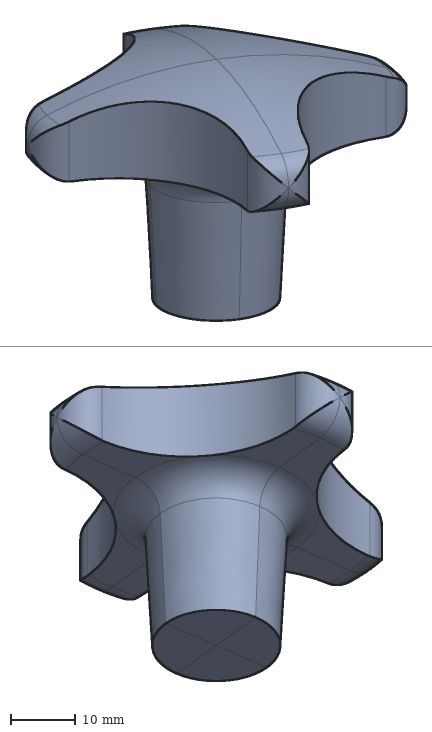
import cadquery as cq
import math

span = 63.0
height = 40.0
head_base = 25.0
tip_radius = 5.0
stem_radius = 10.0
stem_draft = math.radians(3.0)
neck_radius = 5.0

tip_reach = span / 2 - tip_radius
tip_height = head_base + tip_radius

tip_drop = height - tip_height
dome_radius = (tip_reach**2 + tip_drop**2 - tip_radius**2) / (2 * (tip_drop - tip_radius))
dome_base = height - dome_radius
dome_angle = math.atan2(tip_height - dome_base, tip_reach)

neck_height = head_base - neck_radius
neck_start_height = neck_height + neck_radius * math.sin(stem_draft)
neck_start_radius = stem_radius + neck_start_height * math.tan(stem_draft)
neck_reach = neck_start_radius + neck_radius * math.cos(stem_draft)


def point_on_arc(center_x, center_y, radius, angle):
    return (center_x + radius * math.cos(angle), center_y + radius * math.sin(angle))


def make_turned_quarter():
    """Stem, neck and domed head, turned through the quarter between +X and +Y."""
    neck_middle_angle = (math.pi / 2 + math.pi - stem_draft) / 2
    neck_middle = point_on_arc(neck_reach, neck_height, neck_radius, neck_middle_angle)
    lower_rim_middle = point_on_arc(tip_reach, tip_height, tip_radius, -math.pi / 4)
    upper_rim_middle = point_on_arc(tip_reach, tip_height, tip_radius, dome_angle / 2)
    dome_edge = point_on_arc(0, dome_base, dome_radius, dome_angle)
    dome_middle = point_on_arc(0, dome_base, dome_radius, (dome_angle + math.pi / 2) / 2)
    return (
        cq.Workplane("XZ")
        .lineTo(stem_radius, 0)
        .lineTo(neck_start_radius, neck_start_height)
        .threePointArc(neck_middle, (neck_reach, head_base))
        .lineTo(tip_reach, head_base)
        .threePointArc(lower_rim_middle, (span / 2, tip_height))
        .threePointArc(upper_rim_middle, dome_edge)
        .threePointArc(dome_middle, (0, height))
        .close()
        .revolve(90, (0, 0), (0, 1))
    )


def make_outline_quarter():
    """Two half arms with round ends, joined by a concave arc tangent to their sides."""
    hollow_radius = tip_reach - tip_radius
    hollow_middle = tip_reach - hollow_radius * math.sqrt(0.5)
    first_tip_middle = point_on_arc(tip_reach, 0, tip_radius, math.pi / 4)
    second_tip_middle = point_on_arc(0, tip_reach, tip_radius, math.pi / 4)
    return (
        cq.Workplane("XY")
        .lineTo(span / 2, 0)
        .threePointArc(first_tip_middle, (tip_reach, tip_radius))
        .threePointArc((hollow_middle, hollow_middle), (tip_radius, tip_reach))
        .threePointArc(second_tip_middle, (0, span / 2))
        .close()
        .extrude(height)
    )


quarter = make_turned_quarter().intersect(make_outline_quarter())
half = quarter.union(quarter.mirror("YZ"), clean=False)
result = half.union(half.mirror("XZ"), clean=False)